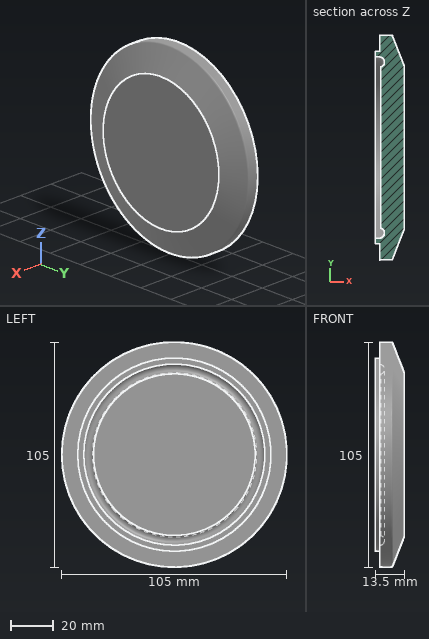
import cadquery as cq
import math

rim_radius = 52.5
total_thickness = 13.5
lip_radius = 45.0
lip_height = 2.0
lip_edge_radius = 0.3
rim_width = 6.0
rim_edge_radius = 1.0
back_radius = 38.3
recess_radius = 42.2
recess_depth = 2.5
groove_center_depth = 1.9
groove_radius = 2.3

cone_start = lip_height + rim_width

groove_path_radius = recess_radius - groove_radius

floor_radius = groove_path_radius - math.sqrt(
    groove_radius**2 - (recess_depth - groove_center_depth) ** 2
)


def make_body():
    """Revolve the lip, rim and conical back as one solid."""
    profile = (
        cq.Workplane("XY")
        .lineTo(0, lip_radius)
        .lineTo(lip_height, lip_radius)
        .lineTo(lip_height, rim_radius)
        .lineTo(cone_start, rim_radius)
        .lineTo(total_thickness, back_radius)
        .lineTo(total_thickness, 0)
        .close()
    )
    body = profile.revolve(360, (0, 0, 0), (1, 0, 0))
    rim_edges = body.edges(cq.selectors.RadiusNthSelector(-1))
    body = rim_edges.edges(">X").fillet(rim_edge_radius)
    return body.faces("<X").edges().fillet(lip_edge_radius)


def make_recess():
    """Shallow round pocket with a round-bottomed groove around its floor."""
    profile = (
        cq.Workplane("XY")
        .lineTo(0, recess_radius)
        .lineTo(groove_center_depth, recess_radius)
        .threePointArc(
            (groove_center_depth + groove_radius, groove_path_radius),
            (recess_depth, floor_radius),
        )
        .lineTo(recess_depth, 0)
        .close()
    )
    return profile.revolve(360, (0, 0, 0), (1, 0, 0))


result = make_body().cut(make_recess())